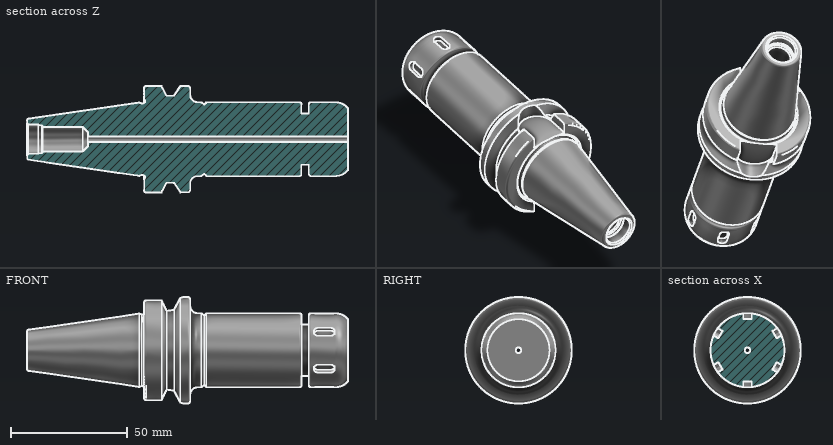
import cadquery as cq
import math


gauge_diameter = 31.75
taper_length = 48.4
taper_ratio = 7 / 24
shank_end_fillet = 0.9
taper_lip = 1.0
relief_radius = 15.5
relief_fillet = 1.1

recess_floor = 2.5
recess_floor_radius = relief_radius + relief_fillet
recess_rim_radius = 17.3

flange_start = 2.0
flange_end = 22.0
flange_radius = 23.0
flange_edge_fillet = 1.1
groove_radius = 18.85
groove_front = 9.6
groove_floor_start = 11.8
groove_floor_end = 15.0
groove_back = 17.7

slot_width = 16.1
slot_floor_height = 16.3
slot_end = 19.0

body_radius = 16.0
body_end = 70.0
body_fillet = 1.0
flange_fillet = 3.2
notch_start = 26.7
notch_bottom = 28.1
notch_end = 28.9
notch_radius = 15.0
neck_radius = 22.2 / 2

nut_start = 73.0
nut_end = 90.0
nut_rear_fillet = 1.0
nose_radius = 7.0
nose_start = 84.5
nose_edge_chamfer = 0.3

wrench_slot_count = 6
wrench_slot_width = 4.0
wrench_slot_length = 9.1
wrench_slot_depth = 2.5
wrench_slot_center = 79.75

mouth_radius = 13.8 / 2
pilot_radius = 12.5 / 2
pilot_depth = 5.0
throat_radius = 12.0 / 2
throat_depth = 6.4
core_start = 6.9
core_radius = 10.5 / 2
core_depth = 24.0
cone_end_radius = 6.0 / 2
cone_length = core_radius - cone_end_radius
coolant_radius = 2.31 / 2


def taper_radius(x):
    return gauge_diameter / 2 + x * taper_ratio / 2


def add_quarter_round(profile, start, end, center):
    """Continue the profile with the round from start to end about center."""
    radius = math.dist(start, center)
    middle_x = (start[0] + end[0]) / 2 - center[0]
    middle_r = (start[1] + end[1]) / 2 - center[1]
    scale = radius / math.hypot(middle_x, middle_r)
    middle = (center[0] + middle_x * scale, center[1] + middle_r * scale)
    return profile.lineTo(*start).threePointArc(middle, end)


def make_turned_body():
    shank_end = -taper_length
    fillet_end = shank_end + shank_end_fillet
    fillet_radius = taper_radius(fillet_end)
    nose_edge = nut_end - nose_edge_chamfer
    nose_center_radius = body_radius - nose_radius
    nose_edge_radius = nose_center_radius + math.sqrt(nose_radius**2 - (nose_edge - nose_start) ** 2)
    flange_edge_radius = flange_radius - flange_edge_fillet

    profile = cq.Workplane("XY").moveTo(shank_end, 0)
    profile = add_quarter_round(
        profile,
        (shank_end, fillet_radius - shank_end_fillet),
        (fillet_end, fillet_radius),
        (fillet_end, fillet_radius - shank_end_fillet),
    )
    profile = profile.lineTo(0, taper_radius(0)).lineTo(taper_lip, relief_radius)
    profile = add_quarter_round(
        profile,
        (recess_floor - relief_fillet, relief_radius),
        (recess_floor, recess_floor_radius),
        (recess_floor - relief_fillet, recess_floor_radius),
    )
    profile = profile.lineTo(flange_start, recess_rim_radius)
    profile = add_quarter_round(
        profile,
        (flange_start, flange_edge_radius),
        (flange_start + flange_edge_fillet, flange_radius),
        (flange_start + flange_edge_fillet, flange_edge_radius),
    )
    profile = (
        profile.lineTo(groove_front, flange_radius)
        .lineTo(groove_floor_start, groove_radius)
        .lineTo(groove_floor_end, groove_radius)
        .lineTo(groove_back, flange_radius)
    )
    profile = add_quarter_round(
        profile,
        (flange_end - flange_edge_fillet, flange_radius),
        (flange_end, flange_edge_radius),
        (flange_end - flange_edge_fillet, flange_edge_radius),
    )
    profile = add_quarter_round(
        profile,
        (flange_end, body_radius + flange_fillet),
        (flange_end + flange_fillet, body_radius),
        (flange_end + flange_fillet, body_radius + flange_fillet),
    )
    profile = (
        profile.lineTo(notch_start, body_radius)
        .lineTo(notch_bottom, notch_radius)
        .lineTo(notch_end, body_radius)
    )
    profile = add_quarter_round(
        profile,
        (body_end - body_fillet, body_radius),
        (body_end, body_radius - body_fillet),
        (body_end - body_fillet, body_radius - body_fillet),
    )
    profile = profile.lineTo(body_end, neck_radius).lineTo(nut_start, neck_radius)
    profile = add_quarter_round(
        profile,
        (nut_start, body_radius - nut_rear_fillet),
        (nut_start + nut_rear_fillet, body_radius),
        (nut_start + nut_rear_fillet, body_radius - nut_rear_fillet),
    )
    profile = add_quarter_round(
        profile,
        (nose_start, body_radius),
        (nose_edge, nose_edge_radius),
        (nose_start, nose_center_radius),
    )
    profile = profile.lineTo(nut_end, nose_edge_radius - nose_edge_chamfer).lineTo(nut_end, 0).close()
    return profile.revolve(360, (0, 0, 0), (1, 0, 0))


def make_bore():
    mouth = -taper_length
    cone_start = mouth + core_depth
    cone_end = cone_start + cone_length
    profile = (
        cq.Workplane("XY")
        .moveTo(mouth, 0)
        .lineTo(mouth, mouth_radius)
        .lineTo(mouth + mouth_radius - pilot_radius, pilot_radius)
        .lineTo(mouth + pilot_depth, pilot_radius)
        .lineTo(mouth + pilot_depth, throat_radius)
        .lineTo(mouth + throat_depth, throat_radius)
        .lineTo(mouth + core_start, core_radius)
        .lineTo(cone_start, core_radius)
        .lineTo(cone_end, cone_end_radius)
        .lineTo(cone_end, coolant_radius)
        .lineTo(nut_end, coolant_radius)
        .lineTo(nut_end, 0)
        .close()
    )
    return profile.revolve(360, (0, 0, 0), (1, 0, 0))


def make_drive_slot():
    """Round-ended slot above the part, open toward the shank."""
    end_radius = slot_width / 2
    arc_center = slot_end - end_radius
    return (
        cq.Workplane("XY", origin=(0, 0, slot_floor_height))
        .moveTo(0, -end_radius)
        .lineTo(arc_center, -end_radius)
        .threePointArc((slot_end, 0), (arc_center, end_radius))
        .lineTo(0, end_radius)
        .close()
        .extrude(flange_radius - slot_floor_height)
    )


def make_wrench_slot():
    return (
        cq.Workplane("XY", origin=(wrench_slot_center, 0, body_radius - wrench_slot_depth))
        .slot2D(wrench_slot_length, wrench_slot_width)
        .extrude(2 * wrench_slot_depth)
    )


def cut_around_axis(part, cutter, count):
    """Cut equally spaced copies of the cutter around the X axis."""
    for index in range(count):
        part = part.cut(cutter.rotate((0, 0, 0), (1, 0, 0), index * 360 / count))
    return part


result = make_turned_body().cut(make_bore())
result = cut_around_axis(result, make_drive_slot(), 2)
result = cut_around_axis(result, make_wrench_slot(), wrench_slot_count)